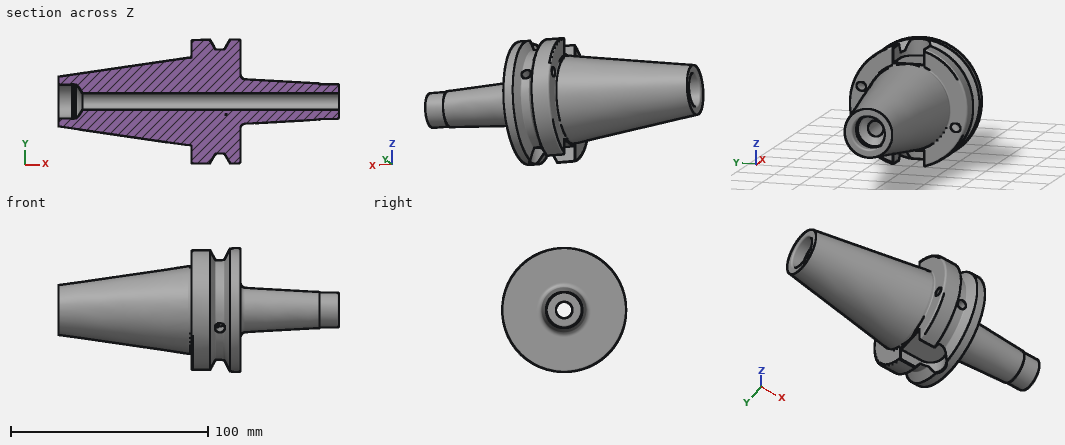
import cadquery as cq
import math

taper_length = 65.4
nose_end = 77.0
flange_front = 2.0
flange_back = 27.0
nose_cone_end = 67.0

gauge_radius = 44.45 / 2
taper_per_length = 7 / 24
taper_small_radius = gauge_radius - taper_length * taper_per_length / 2
root_fillet = 0.6
collar_start = 0.4

flange_radius = 63.0 / 2
flange_edge_fillet = 1.0
groove_radius = 26.5
groove_center = 16.55
groove_bottom_width = 4.4
groove_fillet = 0.5
groove_side_angle = 30.0

collar_radius = gauge_radius + collar_start * taper_per_length / 2
root_start = flange_front - root_fillet

slot_width = 16.1
slot_floor = 22.5
slot_end = 23.0
slot_chamfer = 0.4
chamfer_angle = 45.0

nose_radius = 8.9
nose_cone_end_radius = 9.25
nose_fillet = 2.5
nose_cone_start = flange_back + nose_fillet
nose_cone_start_radius = 11.35
nose_edge_fillet = 1.0

pilot_radius = 17.0 / 2
pilot_depth = 6.8
pilot_edge_fillet = 1.0
relief_depth = 0.2
relief_radius = pilot_radius + relief_depth
relief_width = 1.1
relief_land = 1.1
neck_radius = 14.2 / 2
drill_half_angle = 59.0
through_radius = 8.2 / 2

coolant_turn = 20.0
coolant_tilt = 30.0
inclined_radius = 4.5 / 2
inclined_start = 26.7
radial_radius = 5.0 / 2
radial_floor = 17.5


def is_groove_corner(edge):
    """True for a circular edge at the bottom of the V groove."""
    if edge.geomType() != "CIRCLE":
        return False
    in_groove = abs(edge.Center().x - groove_center) < groove_bottom_width
    return in_groove and abs(edge.radius() - groove_radius) < groove_fillet


def make_body():
    """Revolve the outer profile of shank, flange and nose about the X axis."""
    side_run = (flange_radius - groove_radius) * math.tan(math.radians(groove_side_angle))
    groove_left = groove_center - groove_bottom_width / 2
    groove_right = groove_center + groove_bottom_width / 2
    profile = (
        cq.Workplane("XY")
        .moveTo(-taper_length, 0)
        .lineTo(-taper_length, taper_small_radius)
        .lineTo(collar_start, collar_radius)
        .lineTo(root_start, collar_radius)
        .radiusArc((flange_front, collar_radius + root_fillet), -root_fillet)
        .lineTo(flange_front, flange_radius - flange_edge_fillet)
        .radiusArc((flange_front + flange_edge_fillet, flange_radius), flange_edge_fillet)
        .lineTo(groove_left - side_run, flange_radius)
        .lineTo(groove_left, groove_radius)
        .lineTo(groove_right, groove_radius)
        .lineTo(groove_right + side_run, flange_radius)
        .lineTo(flange_back - flange_edge_fillet, flange_radius)
        .radiusArc((flange_back, flange_radius - flange_edge_fillet), flange_edge_fillet)
        .lineTo(flange_back, nose_cone_start_radius + nose_fillet)
        .radiusArc((nose_cone_start, nose_cone_start_radius), -nose_fillet)
        .lineTo(nose_cone_end, nose_cone_end_radius)
        .lineTo(nose_cone_end, nose_radius)
        .lineTo(nose_end - nose_edge_fillet, nose_radius)
        .radiusArc((nose_end, nose_radius - nose_edge_fillet), nose_edge_fillet)
        .lineTo(nose_end, 0)
        .close()
    )
    body = profile.revolve(360, (0, 0, 0), (1, 0, 0))
    groove_corners = [edge for edge in body.edges().vals() if is_groove_corner(edge)]
    return body.newObject(groove_corners).fillet(groove_fillet)


def make_bore():
    """Stepped bore along the X axis, open at both ends."""
    mouth = -taper_length
    relief_start = mouth + pilot_depth
    relief_end = relief_start + relief_width
    cone_start = relief_end + relief_land
    neck_start = cone_start + pilot_radius - neck_radius
    cone_length = (neck_radius - through_radius) / math.tan(math.radians(drill_half_angle))
    profile = (
        cq.Workplane("XY")
        .moveTo(mouth, 0)
        .lineTo(mouth, pilot_radius + pilot_edge_fillet)
        .radiusArc((mouth + pilot_edge_fillet, pilot_radius), -pilot_edge_fillet)
        .lineTo(relief_start, pilot_radius)
        .lineTo(relief_start, relief_radius)
        .lineTo(relief_end, relief_radius)
        .lineTo(relief_end, pilot_radius)
        .lineTo(cone_start, pilot_radius)
        .lineTo(neck_start, neck_radius)
        .lineTo(neck_start + cone_length, through_radius)
        .lineTo(nose_end, through_radius)
        .lineTo(nose_end, 0)
        .close()
    )
    return profile.revolve(360, (0, 0, 0), (1, 0, 0))


def make_slot():
    """Drive slot on the +Z side, open at the front and round at its end."""
    height = flange_radius - slot_floor
    round_center = slot_end - slot_width / 2
    straight = cq.Workplane("XY").box(round_center, slot_width, height, centered=(False, True, False))
    round_end = cq.Workplane("XY").center(round_center, 0).circle(slot_width / 2).extrude(height)
    return straight.union(round_end).translate((0, 0, slot_floor))


def make_coolant_holes():
    """Inclined hole from the flange face meeting a radial hole from the groove, on the +Y side."""
    tilt = math.radians(coolant_tilt)
    run = groove_center - flange_front
    axis = cq.Vector(math.cos(tilt), -math.sin(tilt), 0)
    entry = cq.Vector(flange_front, inclined_start, 0)
    overshoot = inclined_radius * math.tan(tilt)
    inclined = cq.Solid.makeCylinder(
        inclined_radius, run / math.cos(tilt) + overshoot, entry - axis * overshoot, axis
    )
    radial = cq.Solid.makeCylinder(
        radial_radius,
        flange_radius - radial_floor,
        cq.Vector(groove_center, radial_floor, 0),
        cq.Vector(0, 1, 0),
    )
    holes = cq.Workplane(obj=inclined).union(cq.Workplane(obj=radial))
    return holes.rotate((0, 0, 0), (1, 0, 0), coolant_turn)


def make_slot_mouth():
    """Flare that chamfers the front edges of the +Z slot, clear of the collar behind the taper."""
    reach = flange_front - root_start + slot_chamfer
    height = flange_radius - slot_floor
    flare = (
        cq.Workplane("YZ", origin=(flange_front + slot_chamfer, 0, slot_floor + height))
        .rect(slot_width, 2 * height)
        .extrude(-reach, taper=-chamfer_angle)
    )
    collar = cq.Workplane("YZ").circle(collar_radius).extrude(flange_front + slot_chamfer)
    return flare.cut(collar)


def is_slot_rim(edge):
    """True for an edge where a slot wall meets the outer surface of the flange."""
    middle = edge.positionAt(0.5)
    beside_slot = abs(middle.y) < slot_width / 2 + slot_chamfer
    outside_groove = math.hypot(middle.y, middle.z) > flange_radius - flange_edge_fillet
    behind_mouth = flange_front + slot_chamfer < middle.x < slot_end + slot_chamfer
    return beside_slot and outside_groove and behind_mouth and abs(middle.z) > slot_floor


def on_both_sides(tool):
    """The tool and its copy turned half a turn about the X axis."""
    return [tool, tool.rotate((0, 0, 0), (1, 0, 0), 180)]


result = make_body()
for holes in on_both_sides(make_coolant_holes()):
    result = result.cut(holes)
result = result.cut(make_bore())
for tool in on_both_sides(make_slot()) + on_both_sides(make_slot_mouth()):
    result = result.cut(tool)

slot_rims = [edge for edge in result.edges().vals() if is_slot_rim(edge)]
result = result.newObject(slot_rims).chamfer(slot_chamfer)